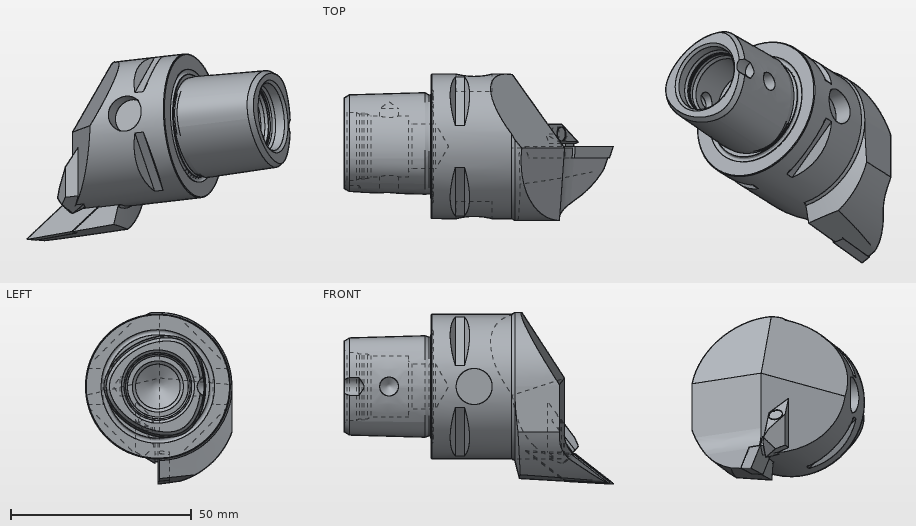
import cadquery as cq
import math


SHANK_LENGTH = 24.05
TIP_CHAMFER_LENGTH = 1.5
NECK_START = -1.65
NECK_FULL = -0.6
LOBE_HEIGHT = 0.8
NECK_LOBE_HEIGHT = 0.5
TIP_RADIUS = 12.6
TAPER_SMALL_RADIUS = 13.5
TAPER_LARGE_RADIUS = 14.1
NECK_RADIUS = 13.7
LOBE_HALF_ANGLE = 26
LOBE_SPACING = 120
POINTS_PER_SPAN = 8

BORE_MOUTH_RADIUS = 10.1
BORE_MOUTH_CHAMFER = 0.75
BORE_ENTRY_RADIUS = 9.4
BORE_ENTRY_LENGTH = 3.4
BORE_COLLAR_RADIUS = 8.9
BORE_COLLAR_START = 4.25
BORE_COLLAR_END = 6.5
BORE_RADIUS = 8.4
BORE_START = 7.45
BORE_GROOVE_RADIUS = 9.2
BORE_GROOVE_START = 4.9
BORE_GROOVE_WIDTH = 0.5
INNER_MOUTH_RADIUS = 7.1
INNER_BORE_RADIUS = 6.2
INNER_BORE_START = 17.85
INNER_BORE_END = 25.3
INNER_POINT_LENGTH = 3.6

CROSS_HOLE_X = -11.6
CROSS_HOLE_RADIUS = 2.6
CROSS_HOLE_FAR_Y = 10.4
NOTCH_RADIUS = 2.6
NOTCH_Y = -13.5
NOTCH_LENGTH = 4.1
DRILL_POINT_LENGTH = 1.9

FLANGE_RADIUS = 20.0
FLANGE_LENGTH = 22.25
EDGE_CHAMFER = 0.2
COLLAR_RADIUS = 14.3
COLLAR_HEIGHT = 0.2
FACE_GROOVE_RADIUS = 15.7
SIDE_HOLE_X = 11.9
SIDE_HOLE_RADIUS = 5.0
SIDE_HOLE_BOTTOM = 15.2
GRIP_GROOVE_X = 8.0
GRIP_GROOVE_DISTANCE = 17.65
GRIP_GROOVE_WIDTH = 2.5
GRIP_GROOVE_SIDE_SLOPE = 0.6

HEAD_STEP = 0.485
HEAD_RADIUS = FLANGE_RADIUS + HEAD_STEP
SPLIT_Y = -0.45
HEAD_START = 23.15
BACK_CONE_SLOPE = 0.25
FLAT_LOWER_Z = -12.6
HORN_ARC_MIDDLE = (-15.0, -21.0)
HORN_ARC_END = (-7.1, -25.9)
HORN_BOTTOM_Z = -27.9
END_X = 36.9
SLANT_TOP_X = 25.1
SLANT_SLOPE = 0.65
NEAR_SLANT_SKEW = 0.13
FAR_SLANT_SKEW = 0.86
FAR_END_SKEW = 0.71
END_FILLET = 7.45
HORN_FLANK_DROP = 0.3
RELIEF_X = 0.07
RELIEF_Z = 0.085

TIP_X = 50.4
TIP_Z = -27.0
INSERT_SIDE = 13.85
INSERT_THICKNESS = 3.2
INSERT_RELIEF = 6
NOSE_RADIUS = 0.15
LOWER_EDGE_ANGLE = 3.3
UPPER_EDGE_ANGLE = 38
LOWER_FACET_SKEW = 0.11

CLAMP_TOP_Y = 6.2
CLAMP_FOOT_HEIGHT = 0.75
CLAMP_OUTLINE = [(30.5, -1.9), (39.7, -14.1), (40.8, -16.5), (36.4, -21.35), (30.5, -19.35)]
FOOT_OUTLINE = [(35.0, -15.6), (37.2, -15.6), (39.45, -18.6), (37.2, -20.85), (35.0, -19.35)]
CLAMP_BEVEL_X = 36.1
CLAMP_BEVEL_SLOPE = 1.09
CLAMP_UNDERCUT_POINT = (39.7, 1.4, -14.1)
CLAMP_UNDERCUT_NORMAL = (0.26, -1, 0.2)
CLAMP_LOW_EDGE = (0.7, -21.35)
CLAMP_LOW_SLOPE = 0.6
SCREW_RADIUS = 1.9
SCREW_X = 36.1
SCREW_Y = 3.4
SCREW_LENGTH = 2.2
SCREW_RECESS = 0.2

BIG = 89.3


def half_space(point, normal):
    """Large block filling the side of a plane that the normal points to."""
    return cq.Workplane(cq.Plane(point, normal=normal)).rect(2 * BIG, 2 * BIG).extrude(BIG)


def revolved(points):
    """Solid turned about the X axis from (x, radius) points."""
    return cq.Workplane("XY").polyline(points).close().revolve(360, (0, 0, 0), (1, 0, 0))


def lobe_section(x, radius, lobe):
    """Three-lobed constant-width outline, split where lobes and flanks meet."""
    def point(angle):
        support = radius + lobe * math.cos(3 * angle)
        slope = -3 * lobe * math.sin(3 * angle)
        y = support * math.cos(angle) - slope * math.sin(angle)
        z = support * math.sin(angle) + slope * math.cos(angle)
        return cq.Vector(x, y, z)

    edges = []
    for lobe_angle in range(0, 360, LOBE_SPACING):
        spans = [
            (lobe_angle - LOBE_HALF_ANGLE, lobe_angle + LOBE_HALF_ANGLE),
            (lobe_angle + LOBE_HALF_ANGLE, lobe_angle + LOBE_SPACING - LOBE_HALF_ANGLE),
        ]
        for first, last in spans:
            step = (last - first) / POINTS_PER_SPAN
            angles = [math.radians(first + step * i) for i in range(POINTS_PER_SPAN + 1)]
            edges.append(cq.Edge.makeSpline([point(angle) for angle in angles]))
    return cq.Wire.assembleEdges(edges)


def make_shank():
    """Chamfered tip, taper and neck, lofted between three-lobed outlines."""
    sections = [
        lobe_section(-SHANK_LENGTH, TIP_RADIUS, LOBE_HEIGHT),
        lobe_section(-SHANK_LENGTH + TIP_CHAMFER_LENGTH, TAPER_SMALL_RADIUS, LOBE_HEIGHT),
        lobe_section(NECK_START, TAPER_LARGE_RADIUS, LOBE_HEIGHT),
        lobe_section(NECK_FULL, NECK_RADIUS, NECK_LOBE_HEIGHT),
        lobe_section(EDGE_CHAMFER, NECK_RADIUS, NECK_LOBE_HEIGHT),
    ]
    shank = cq.Workplane(cq.Solid.makeLoft(sections[:2], True))
    for first, second in zip(sections[1:], sections[2:]):
        shank = shank.union(cq.Workplane(cq.Solid.makeLoft([first, second], True)))
    return shank


def make_bore():
    """Stepped bore with a ring groove and a drill point."""
    inner_chamfer = INNER_MOUTH_RADIUS - INNER_BORE_RADIUS
    groove_end = BORE_GROOVE_START + BORE_GROOVE_WIDTH
    profile = [
        (0, 0),
        (0, BORE_MOUTH_RADIUS),
        (BORE_MOUTH_CHAMFER, BORE_ENTRY_RADIUS),
        (BORE_ENTRY_LENGTH, BORE_ENTRY_RADIUS),
        (BORE_COLLAR_START, BORE_COLLAR_RADIUS),
        (BORE_GROOVE_START, BORE_COLLAR_RADIUS),
        (BORE_GROOVE_START, BORE_GROOVE_RADIUS),
        (groove_end, BORE_GROOVE_RADIUS),
        (groove_end, BORE_COLLAR_RADIUS),
        (BORE_COLLAR_END, BORE_COLLAR_RADIUS),
        (BORE_START, BORE_RADIUS),
        (INNER_BORE_START, BORE_RADIUS),
        (INNER_BORE_START, INNER_MOUTH_RADIUS),
        (INNER_BORE_START + inner_chamfer, INNER_BORE_RADIUS),
        (INNER_BORE_END, INNER_BORE_RADIUS),
        (INNER_BORE_END + INNER_POINT_LENGTH, 0),
    ]
    return revolved(profile).translate((-SHANK_LENGTH, 0, 0))


def drilled_hole(start, direction, radius, depth):
    """Cylinder with a conical point, drilled from a start point."""
    cylinder = cq.Solid.makeCylinder(radius, depth, start, direction)
    cone = cq.Solid.makeCone(radius, 0, DRILL_POINT_LENGTH, start + direction * depth, direction)
    return cq.Workplane(cylinder).union(cq.Workplane(cone))


def make_far_slant():
    """Space above the slanted plane that trims the +Y part of the flange and head."""
    return half_space((SLANT_TOP_X, SPLIT_Y, HEAD_RADIUS), (1, FAR_SLANT_SKEW, SLANT_SLOPE))


def make_flange():
    """Flange with a collar, a rounded groove in its face and gripping pockets."""
    flange = revolved([
        (-COLLAR_HEIGHT, 0),
        (-COLLAR_HEIGHT, COLLAR_RADIUS),
        (0, COLLAR_RADIUS),
        (0, FLANGE_RADIUS - EDGE_CHAMFER),
        (EDGE_CHAMFER, FLANGE_RADIUS),
        (FLANGE_LENGTH, FLANGE_RADIUS),
        (FLANGE_LENGTH, 0),
    ])
    groove_half_width = (FACE_GROOVE_RADIUS - COLLAR_RADIUS) / 2
    groove_middle = (FACE_GROOVE_RADIUS + COLLAR_RADIUS) / 2
    ring = cq.Solid.makeTorus(groove_middle, groove_half_width, cq.Vector(), cq.Vector(1, 0, 0))
    flange = flange.cut(cq.Workplane(ring))
    return flange.cut(make_grip_grooves()).cut(make_side_holes()).cut(make_far_slant())


def make_grip_grooves():
    """Four straight trapezoidal gripper grooves at 45 degrees around the flange."""
    depth = HEAD_RADIUS - GRIP_GROOVE_DISTANCE
    half_bottom = GRIP_GROOVE_WIDTH / 2
    half_top = half_bottom + depth * GRIP_GROOVE_SIDE_SLOPE
    groove = (
        cq.Workplane("XZ")
        .polyline([
            (GRIP_GROOVE_X - half_bottom, GRIP_GROOVE_DISTANCE),
            (GRIP_GROOVE_X + half_bottom, GRIP_GROOVE_DISTANCE),
            (GRIP_GROOVE_X + half_top, HEAD_RADIUS),
            (GRIP_GROOVE_X - half_top, HEAD_RADIUS),
        ])
        .close()
        .extrude(FLANGE_RADIUS, both=True)
    )
    grooves = cq.Workplane()
    for angle in (45, 135, 225, 315):
        grooves = grooves.add(groove.rotate((0, 0, 0), (1, 0, 0), angle))
    return grooves.combine()


def make_side_holes():
    """Flat-bottomed round pockets on the -Y and +Y sides of the flange."""
    depth = HEAD_RADIUS - SIDE_HOLE_BOTTOM
    holes = cq.Workplane()
    for side in (-1, 1):
        start = cq.Vector(SIDE_HOLE_X, side * SIDE_HOLE_BOTTOM, 0)
        direction = cq.Vector(0, side, 0)
        holes = holes.add(cq.Solid.makeCylinder(SIDE_HOLE_RADIUS, depth, start, direction))
    return holes.combine()


def lower_edge_slope():
    """Rise in Z per unit of -X along the lower cutting edge."""
    return math.tan(math.radians(LOWER_EDGE_ANGLE))


def make_end_clearance():
    """Space in front of the -Y part: end face, fillet and the flank above the insert."""
    flank_slope = math.tan(math.radians(UPPER_EDGE_ANGLE))
    corner_z = TIP_Z - HORN_FLANK_DROP + flank_slope * (TIP_X - END_X)
    half_turn = math.radians(90 - UPPER_EDGE_ANGLE) / 2
    reach = END_FILLET * math.tan(half_turn)
    arc_start = (END_X, corner_z + reach)
    flank_x = reach * math.cos(math.radians(UPPER_EDGE_ANGLE))
    arc_end = (END_X + flank_x, corner_z - flank_x * flank_slope)
    middle_gap = END_FILLET / math.cos(half_turn) - END_FILLET
    arc_middle = (
        END_X + middle_gap * math.cos(half_turn),
        corner_z + middle_gap * math.sin(half_turn),
    )
    profile = (
        cq.Workplane("XZ")
        .moveTo(END_X, BIG)
        .lineTo(*arc_start)
        .threePointArc(arc_middle, arc_end)
        .lineTo(BIG, corner_z - (BIG - END_X) * flank_slope)
        .lineTo(BIG, BIG)
        .close()
        .wire()
        .val()
    )
    sweep = cq.Vector(-RELIEF_X, -1, -RELIEF_Z) * (2 * HEAD_RADIUS)
    return cq.Workplane(cq.Solid.extrudeLinear(profile, [], sweep))


def make_near_head():
    """The -Y part of the head, with the horn that carries the insert."""
    top = HEAD_RADIUS
    diagonal = top * math.sqrt(0.5)
    near_half = (
        cq.Workplane("YZ", origin=(FLANGE_LENGTH, 0, 0))
        .moveTo(SPLIT_Y, 0)
        .lineTo(SPLIT_Y, math.sqrt(top**2 - SPLIT_Y**2))
        .threePointArc((-diagonal, diagonal), (-top, 0))
        .lineTo(-top, FLAT_LOWER_Z)
        .threePointArc(HORN_ARC_MIDDLE, HORN_ARC_END)
        .lineTo(SPLIT_Y, HORN_BOTTOM_Z)
        .close()
        .extrude(TIP_X - FLANGE_LENGTH)
    )
    flare = BIG / 2
    back_cone = revolved([
        (FLANGE_LENGTH, 0),
        (FLANGE_LENGTH, FLANGE_RADIUS),
        (HEAD_START, HEAD_RADIUS),
        (HEAD_START + flare * BACK_CONE_SLOPE, HEAD_RADIUS + flare),
        (BIG, HEAD_RADIUS + flare),
        (BIG, 0),
    ])
    facet_normal = (-lower_edge_slope(), -LOWER_FACET_SKEW, -1)
    slant_normal = (1, -NEAR_SLANT_SKEW, SLANT_SLOPE)
    return (
        near_half
        .intersect(back_cone)
        .cut(half_space((TIP_X, 0, TIP_Z), facet_normal))
        .cut(half_space((SLANT_TOP_X, SPLIT_Y, HEAD_RADIUS), slant_normal))
        .cut(make_end_clearance())
    )


def make_far_head():
    """The +Y part of the head, slanted and cut back, thicker above the axis than below it."""
    above = half_space((0, 0, 0), (0, 0, 1))
    upper = revolved([
        (FLANGE_LENGTH, 0),
        (FLANGE_LENGTH, FLANGE_RADIUS),
        (HEAD_START, HEAD_RADIUS),
        (END_X, HEAD_RADIUS),
        (END_X, 0),
    ]).intersect(above)
    lower = revolved([
        (FLANGE_LENGTH, 0),
        (FLANGE_LENGTH, FLANGE_RADIUS),
        (END_X, FLANGE_RADIUS),
        (END_X, 0),
    ])
    return (
        upper
        .union(lower)
        .intersect(half_space((0, SPLIT_Y, 0), (0, 1, 0)))
        .cut(make_far_slant())
        .cut(half_space((END_X, SPLIT_Y, 0), (1, FAR_END_SKEW, 0)))
    )


def make_holder():
    """Shank, flange and head in one solid."""
    holder = make_flange().union(make_far_head()).union(make_near_head())
    holder = holder.union(make_shank()).cut(make_bore())
    cross_start = cq.Vector(CROSS_HOLE_X, -HEAD_RADIUS, 0)
    cross_depth = CROSS_HOLE_FAR_Y + HEAD_RADIUS
    holder = holder.cut(drilled_hole(cross_start, cq.Vector(0, 1, 0), CROSS_HOLE_RADIUS, cross_depth))
    notch_start = cq.Vector(-SHANK_LENGTH, NOTCH_Y, 0)
    return holder.cut(drilled_hole(notch_start, cq.Vector(1, 0, 0), NOTCH_RADIUS, NOTCH_LENGTH))


def make_insert():
    """Rhombic insert with a rounded nose, its rake face at y = 0."""
    lower = math.radians(LOWER_EDGE_ANGLE)
    upper = math.radians(UPPER_EDGE_ANGLE)
    bisector = (lower + upper) / 2
    nose_reach = NOSE_RADIUS / math.sin((upper - lower) / 2)
    tip_x = TIP_X - NOSE_RADIUS + nose_reach * math.cos(bisector)
    tip_z = TIP_Z + NOSE_RADIUS - nose_reach * math.sin(bisector)
    lower_step = (-INSERT_SIDE * math.cos(lower), INSERT_SIDE * math.sin(lower))
    upper_step = (-INSERT_SIDE * math.cos(upper), INSERT_SIDE * math.sin(upper))
    return (
        cq.Workplane("XZ")
        .moveTo(tip_x, tip_z)
        .line(*upper_step)
        .line(*lower_step)
        .line(-upper_step[0], -upper_step[1])
        .close()
        .extrude(INSERT_THICKNESS, taper=INSERT_RELIEF)
        .edges(cq.selectors.NearestToPointSelector((tip_x, -INSERT_THICKNESS / 2, tip_z)))
        .fillet(NOSE_RADIUS)
    )


def make_clamp_blank():
    """Bevelled clamp finger on a narrower foot that stands on the insert."""
    finger_height = CLAMP_TOP_Y - CLAMP_FOOT_HEIGHT
    finger = cq.Workplane("XZ", origin=(0, CLAMP_TOP_Y, 0)).polyline(CLAMP_OUTLINE).close()
    finger = finger.extrude(finger_height)
    finger = finger.cut(half_space((CLAMP_BEVEL_X, CLAMP_TOP_Y, 0), (CLAMP_BEVEL_SLOPE, 1, 0)))
    finger = finger.cut(half_space((0, *CLAMP_LOW_EDGE), (0, CLAMP_LOW_SLOPE, -1)))
    finger = finger.cut(half_space(CLAMP_UNDERCUT_POINT, CLAMP_UNDERCUT_NORMAL))
    foot = cq.Workplane("XZ", origin=(0, CLAMP_FOOT_HEIGHT, 0)).polyline(FOOT_OUTLINE).close()
    return finger.union(foot.extrude(CLAMP_FOOT_HEIGHT))


def screw_space(recess):
    """Cylinder sunk square into the sloping upper face of the clamp."""
    (x0, z0), (x1, z1) = CLAMP_OUTLINE[:2]
    length = math.hypot(x1 - x0, z1 - z0)
    outward = cq.Vector((z0 - z1) / length, 0, (x1 - x0) / length)
    surface_z = z0 + (z1 - z0) * (SCREW_X - x0) / (x1 - x0)
    bottom = cq.Vector(SCREW_X, SCREW_Y, surface_z) - outward * SCREW_LENGTH
    return cq.Workplane(cq.Solid.makeCylinder(SCREW_RADIUS, SCREW_LENGTH - recess, bottom, outward))


insert = make_insert()
holder = make_holder().cut(insert)
clamp_blank = make_clamp_blank().cut(holder)
clamp = clamp_blank.cut(screw_space(0))
clamp_screw = clamp_blank.intersect(screw_space(SCREW_RECESS))

bodies = [holder, insert, clamp, clamp_screw]
result = cq.Compound.makeCompound([body.solids().val() for body in bodies])